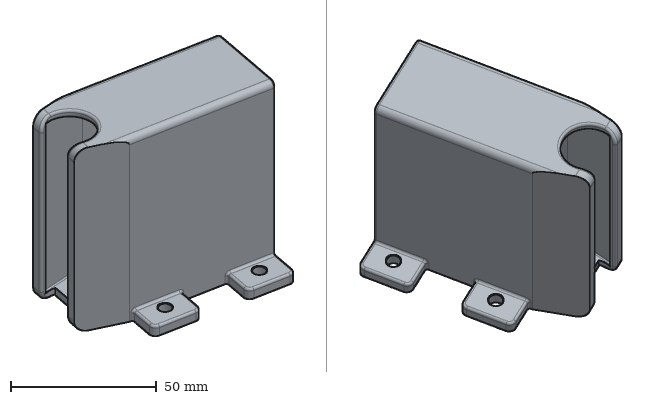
import cadquery as cq

length = 80.0
height = 77.0
total_width = 60.0

body_width = 35.0
nose_width = 25.1
taper_length = 19.5
end_wall = 3.2
flank_wall = 2.5
taper_wall = 3.0
top_edge_radius = 2.5
nose_corner_radius = 5.0
edge_radius = 1.0
cavity_edge_radius = 0.5

mouth_radius = 9.7
mouth_center_y = 6.6
floor_front_y = 7.4

tab_length = 20.0
tab_thickness = 4.5
tab_corner_radius = 2.5
front_tab_y = 21.0
rear_tab_y = length - tab_length
hole_diameter = 5.0
hole_chamfer = 0.2
hole_spacing_x = 45.0

taper_slope = (body_width - nose_width) / 2 / taper_length
slant = (1 + taper_slope**2) ** 0.5

margin = 0.1

tab_places = [(side, front_y) for side in (-1, 1) for front_y in (front_tab_y, rear_tab_y)]


def plan_prism(flank_inset, taper_inset, front_y, z_bottom, z_top):
    """Prism with the tapered plan of the body, its flanks moved inwards by the insets."""
    half_width = body_width / 2 - flank_inset
    half_front = nose_width / 2 + taper_slope * front_y - taper_inset * slant
    shoulder_y = front_y + (half_width - half_front) / taper_slope
    outline = [
        (-half_front, front_y),
        (half_front, front_y),
        (half_width, shoulder_y),
        (half_width, length),
        (-half_width, length),
        (-half_width, shoulder_y),
    ]
    plan = cq.Workplane("XY", origin=(0, 0, z_bottom)).polyline(outline).close()
    return plan.extrude(z_top - z_bottom)


def outer_body():
    """Solid body with rounded top edges, nose corners and rear edges."""
    block = cq.Workplane("XY").box(body_width, length, height, centered=(True, False, False))
    block = block.edges("|Y and >Z").fillet(top_edge_radius)
    block = block.edges("|X and <Y").fillet(nose_corner_radius)
    block = block.intersect(plan_prism(0, 0, 0, 0, height))
    return block.faces(">Y").edges("not <Z").fillet(edge_radius)


def cut_mouth(body):
    """Round mouth that spares the floor behind its straight front edge."""
    mouth = cq.Workplane("XY").center(0, mouth_center_y).circle(mouth_radius).extrude(height)
    kept_floor = cq.Workplane("XY", origin=(0, floor_front_y, 0)).box(
        body_width, length, end_wall, centered=(True, False, False)
    )
    return body.cut(mouth.cut(kept_floor))


def round_mouth_rims(body):
    """Round the rims of the mouth at the nose and at the roof; the floor stays sharp."""
    reach = mouth_radius + margin
    mouth_zone = cq.selectors.BoxSelector(
        (-reach, -margin, -margin),
        (reach, mouth_center_y + reach, height + margin),
        boundingbox=True,
    )
    nose_rims = cq.selectors.BoxSelector(
        (-reach, -margin, -margin),
        (reach, end_wall + margin, height + margin),
    )
    roof_rims = cq.selectors.BoxSelector(
        (-reach, -margin, height - end_wall - margin),
        (reach, mouth_center_y + reach, height + margin),
    )
    mouth_faces = body.faces(mouth_zone).faces("%CYLINDER")
    return mouth_faces.edges(nose_rims + roof_rims).fillet(edge_radius)


def round_cavity_floor(body):
    """Round the inner corners where the floor meets the straight and tapered flanks."""
    cavity_width = body_width - 2 * flank_wall
    for side in (-1, 1):
        corner_zone = cq.selectors.BoxSelector(
            (side * mouth_radius, floor_front_y, end_wall - margin),
            (side * (cavity_width / 2 + margin), length - margin, end_wall + margin),
        )
        body = body.edges(corner_zone).fillet(cavity_edge_radius)
    return body


def mounting_tab(side, front_y):
    """Tab on one side (+1 or -1), reaching into the wall of the body."""
    root_x = body_width / 2 - flank_wall / 2
    tip_x = total_width / 2
    tab = cq.Workplane("XY").box(tip_x - root_x, tab_length, tab_thickness, centered=False)
    tab = tab.edges("|Z and >X").fillet(tab_corner_radius)
    tab = tab.faces(">Z").edges("not <X").fillet(edge_radius)
    tab = tab.translate((root_x, front_y, 0))
    return tab if side > 0 else tab.mirror("YZ")


def blend_tabs(body, side):
    """Round the inner corners between the tabs and one flank of the body."""
    flank_x = side * body_width / 2
    junctions = cq.selectors.BoxSelector(
        (flank_x - margin, taper_length + margin, margin),
        (flank_x + margin, length - edge_radius - margin, tab_thickness + margin),
    )
    return body.edges(junctions).fillet(edge_radius)


def tab_hole(side, front_y):
    """Cutter for one screw hole with a small chamfer at the top of the tab."""
    hole_radius = hole_diameter / 2
    center = (side * hole_spacing_x / 2, front_y + tab_length / 2, 0)
    profile = [
        (0, 0),
        (hole_radius, 0),
        (hole_radius, tab_thickness - hole_chamfer),
        (hole_radius + hole_chamfer, tab_thickness),
        (0, tab_thickness),
    ]
    cutter = cq.Workplane("XZ").polyline(profile).close().revolve(360, (0, 0, 0), (0, 1, 0))
    return cutter.translate(center)


body = outer_body().cut(plan_prism(flank_wall, taper_wall, end_wall, end_wall, height - end_wall))
body = round_mouth_rims(cut_mouth(body))
body = round_cavity_floor(body)

for side, front_y in tab_places:
    body = body.union(mounting_tab(side, front_y))
for side in (-1, 1):
    body = blend_tabs(body, side)
for side, front_y in tab_places:
    body = body.cut(tab_hole(side, front_y))

result = body